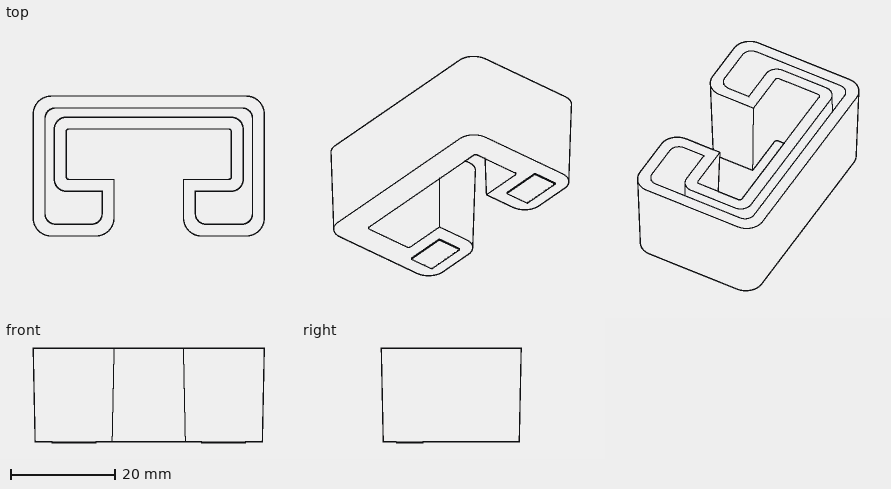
import cadquery as cq
import math

length = 44.4
width = 26.9
body_height = 18.0
wall = 2.27
floor_thickness = 2.3
draft = 1.2
groove_draft = 0.2

groove_width = 1.83
mouth_width = 13.3
lip_depth = 10.92

outer_radius = 3.5
groove_radius = 2.0
channel_radius = 0.5
groove_bend_radius = 2.3

pad_length = 8.4
pad_width = 5.1
pad_thickness = 0.25
pad_center_x = 14.35
pad_center_y = -8.0

half_length = length / 2
half_width = width / 2
half_mouth = mouth_width / 2
back_thickness = 2 * wall + groove_width
half_channel = half_length - back_thickness
channel_back_y = half_width - back_thickness
channel_front_y = -half_width + lip_depth
corner_reach = 0.6


def right_corners(inset):
    """Corners of the +X half of the C profile, moved into the material by inset."""
    half_outside = half_length - inset
    back = half_width - inset
    front = -half_width + inset
    mouth = half_mouth + inset
    half_inside = half_channel + inset
    lip = channel_front_y - inset
    inside_back = channel_back_y + inset
    return [
        (half_inside, inside_back),
        (half_inside, lip),
        (mouth, lip),
        (mouth, front),
        (half_outside, front),
        (half_outside, back),
    ]


def c_outline(inset):
    """All corners of the C profile, walked around the shape."""
    right_side = right_corners(inset)
    left_side = [(-x, y) for x, y in reversed(right_side)]
    return right_side + left_side


def drafted_prism(inset, depth, angle):
    """C-shaped prism hanging down from the top plane, tapering as it descends."""
    bottom_inset = inset + depth * math.tan(math.radians(angle))
    return (
        cq.Workplane("XY")
        .workplane(offset=body_height)
        .polyline(c_outline(inset))
        .close()
        .workplane(offset=-depth)
        .polyline(c_outline(bottom_inset))
        .close()
        .loft(ruled=True)
    )


def round_corners(prism, corners, radius):
    """Fillet the near-vertical edges that start at the given (x, y) corners, on both sides."""
    picked = []
    for edge in prism.edges("not #Z").vals():
        center = edge.Center()
        for x, y in corners:
            if abs(abs(center.x) - x) < corner_reach and abs(center.y - y) < corner_reach:
                picked.append(edge)
    return prism.newObject(picked).fillet(radius)


def rounded_c(inset, depth, angle, convex_radius, channel_corner_radius):
    """Drafted C prism with its outside corners and channel corners rounded."""
    prism = drafted_prism(inset, depth, angle)
    channel_back, channel_front, _, foot_inside, foot_outside, back = right_corners(inset)
    prism = round_corners(prism, [foot_inside, foot_outside, back], convex_radius)
    return round_corners(prism, [channel_back, channel_front], channel_corner_radius)


def foot_pads():
    """Thin flat pads under the two feet."""
    return (
        cq.Workplane("XY")
        .pushPoints([(-pad_center_x, pad_center_y), (pad_center_x, pad_center_y)])
        .rect(pad_length, pad_width)
        .extrude(-pad_thickness)
    )


body = rounded_c(0, body_height, draft, outer_radius, channel_radius)
groove = rounded_c(wall, body_height - floor_thickness, groove_draft, groove_radius, groove_bend_radius)

result = body.cut(groove).union(foot_pads())